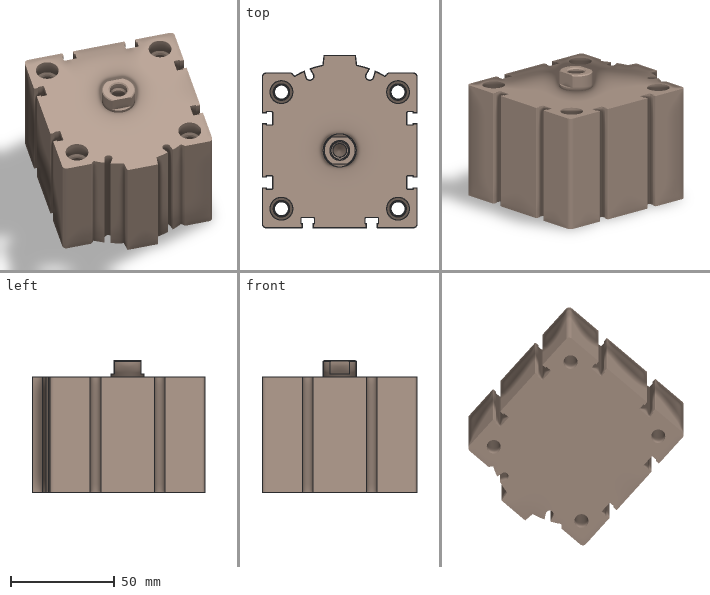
import cadquery as cq
import math

side = 75.0
half = side / 2
depth_y = 83.5
body_height = 56.0
corner_radius = 2.0

tab_top_y = depth_y - half
tab_top_half_width = 7.6
tab_base_half_width = 8.2
bulge_radius = 42.0
notch_bottom_x = 21.9

slot_offset = 15.5
slot_mouth_width = 5.2
slot_mouth_depth = 2.0
slot_inner_width = 6.4
slot_depth = 5.0
slot_mouth_radius = 0.25
slot_inner_radius = 0.4

groove_angle = 22.0
groove_mouth_width = 3.0
groove_diameter = 3.8
groove_centre_radius = 38.75

mount_offset = 28.2
counterbore_diameter = 11.0
counterbore_depth = 7.0
countersink_diameter = 8.0
mount_diameter = 6.8

total_height = 64.0
rod_diameter = 16.0
rod_insertion = 20.0
rod_chamfer = 0.5
flat_width = 13.0
flat_base = 1.5

rod_hole_chamfer_diameter = 9.6
rod_hole_entry_diameter = 8.4
rod_hole_entry_depth = 3.3
rod_hole_diameter = 6.7
rod_hole_depth = 15.0
step_cone_angle = 45.0
drill_tip_angle = 59.0


def cone_height(large_diameter, small_diameter, half_angle):
    """Axial length of a cone between two diameters."""
    return (large_diameter - small_diameter) / 2 / math.tan(math.radians(half_angle))


def bulge_y(x):
    """Y of the bulge arc at a given x."""
    return math.sqrt(bulge_radius**2 - x**2)


def housing_block():
    tab_base_y = bulge_y(tab_base_half_width)
    notch_bottom_y = bulge_y(notch_bottom_x)
    notch_edge_x = notch_bottom_x + (half - notch_bottom_y)
    arc_mid_x = (tab_base_half_width + notch_bottom_x) / 2
    arc_mid_y = bulge_y(arc_mid_x)
    block = (
        cq.Workplane("XY")
        .moveTo(-half, -half)
        .lineTo(half, -half)
        .lineTo(half, half)
        .lineTo(notch_edge_x, half)
        .lineTo(notch_bottom_x, notch_bottom_y)
        .threePointArc((arc_mid_x, arc_mid_y), (tab_base_half_width, tab_base_y))
        .lineTo(tab_top_half_width, tab_top_y)
        .lineTo(-tab_top_half_width, tab_top_y)
        .lineTo(-tab_base_half_width, tab_base_y)
        .threePointArc((-arc_mid_x, arc_mid_y), (-notch_bottom_x, notch_bottom_y))
        .lineTo(-notch_edge_x, half)
        .lineTo(-half, half)
        .close()
        .extrude(body_height)
    )
    for x in (-half, half):
        for y in (-half, half):
            corner = cq.selectors.NearestToPointSelector((x, y, body_height / 2))
            block = block.edges(corner).fillet(corner_radius)
    return block


def t_slot(offset, rotation):
    """T-slot cutter in the front side, turned about Z onto its own side."""
    mouth = (
        cq.Workplane("XY")
        .rect(slot_mouth_width, 2 * slot_depth)
        .extrude(body_height)
        .translate((offset, -half, 0))
    )
    chamber_length = slot_depth - slot_mouth_depth
    chamber = (
        cq.Workplane("XY")
        .rect(slot_inner_width, chamber_length)
        .extrude(body_height)
        .edges("|Z and >Y")
        .fillet(slot_inner_radius)
        .translate((offset, -half + slot_mouth_depth + chamber_length / 2, 0))
    )
    return mouth.union(chamber).rotate((0, 0, 0), (0, 0, 1), rotation)


def round_slot_mouth(housing, offset, rotation):
    """Round the two long edges where a slot opens onto its side."""
    for edge_x in (offset - slot_mouth_width / 2, offset + slot_mouth_width / 2):
        edge_vertex = cq.Vertex.makeVertex(edge_x, -half, body_height / 2)
        edge_point = edge_vertex.rotate((0, 0, 0), (0, 0, 1), rotation).toTuple()
        mouth_edge = cq.selectors.NearestToPointSelector(edge_point)
        housing = housing.edges(mouth_edge).fillet(slot_mouth_radius)
    return housing


def sensor_groove(angle):
    """Round-bottomed groove that narrows toward its mouth, cut toward the rod axis."""
    half_mouth = groove_mouth_width / 2
    radius = groove_diameter / 2
    taper = (radius - half_mouth) / (bulge_radius - groove_centre_radius)
    overshoot = 0.8
    outer_r = bulge_radius + overshoot
    outer_half = half_mouth - taper * overshoot
    return (
        cq.Workplane("XY")
        .moveTo(-radius, groove_centre_radius)
        .threePointArc((0, groove_centre_radius - radius), (radius, groove_centre_radius))
        .lineTo(outer_half, outer_r)
        .lineTo(-outer_half, outer_r)
        .close()
        .extrude(body_height)
        .rotate((0, 0, 0), (0, 0, 1), angle)
    )


def mounting_hole(x, y):
    """Through hole with a counterbore from the top and a countersunk floor."""
    floor_z = body_height - counterbore_depth
    sink_z = floor_z - cone_height(countersink_diameter, mount_diameter, step_cone_angle)
    profile = [
        (0, 0),
        (mount_diameter / 2, 0),
        (mount_diameter / 2, sink_z),
        (countersink_diameter / 2, floor_z),
        (counterbore_diameter / 2, floor_z),
        (counterbore_diameter / 2, body_height),
        (0, body_height),
    ]
    return revolve_about_z(profile).translate((x, y, 0))


def revolve_about_z(profile):
    """Solid of revolution from (radius, z) points."""
    return cq.Workplane("XZ").polyline(profile).close().revolve(360, (0, 0, 0), (0, 1, 0))


def make_housing():
    housing = housing_block()
    for rotation in (0, 90, -90):
        for offset in (-slot_offset, slot_offset):
            housing = housing.cut(t_slot(offset, rotation))
            housing = round_slot_mouth(housing, offset, rotation)
    for angle in (-groove_angle, groove_angle):
        housing = housing.cut(sensor_groove(angle))
    for x in (-mount_offset, mount_offset):
        for y in (-mount_offset, mount_offset):
            housing = housing.cut(mounting_hole(x, y))
    rod_bore = (
        cq.Workplane("XY", origin=(0, 0, body_height - rod_insertion))
        .circle(rod_diameter / 2)
        .extrude(rod_insertion)
    )
    return housing.cut(rod_bore)


def rod_hole():
    entry_radius = rod_hole_entry_diameter / 2
    radius = rod_hole_diameter / 2
    chamfer_depth = cone_height(rod_hole_chamfer_diameter, rod_hole_entry_diameter, step_cone_angle)
    chamfer_z = total_height - chamfer_depth
    entry_z = total_height - rod_hole_entry_depth
    step_z = entry_z - cone_height(rod_hole_entry_diameter, rod_hole_diameter, step_cone_angle)
    floor_z = total_height - rod_hole_depth
    tip_z = floor_z - cone_height(rod_hole_diameter, 0, drill_tip_angle)
    profile = [
        (0, tip_z),
        (radius, floor_z),
        (radius, step_z),
        (entry_radius, entry_z),
        (entry_radius, chamfer_z),
        (rod_hole_chamfer_diameter / 2, total_height),
        (0, total_height),
    ]
    return revolve_about_z(profile)


def make_rod():
    rod_base_z = body_height - rod_insertion
    rod = (
        cq.Workplane("XY", origin=(0, 0, rod_base_z))
        .circle(rod_diameter / 2)
        .extrude(total_height - rod_base_z)
        .faces(">Z")
        .chamfer(rod_chamfer)
    )
    flat_floor_z = body_height + flat_base
    flats = (
        cq.Workplane("XY", origin=(0, 0, flat_floor_z))
        .rect(2 * rod_diameter, 2 * rod_diameter)
        .rect(2 * rod_diameter, flat_width)
        .extrude(total_height - flat_floor_z)
    )
    return rod.cut(flats).cut(rod_hole())


housing = make_housing()
rod = make_rod()

result = cq.Compound.makeCompound([housing.val(), rod.val()])